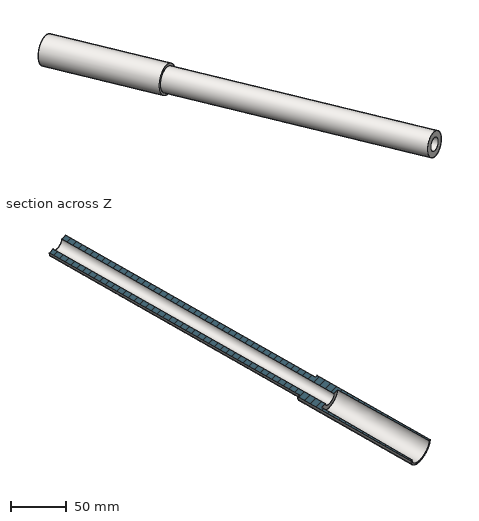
import cadquery as cq

total_length = 400.0
sleeve_length = 125.0
sleeve_diameter = 30.0
shank_diameter = 25.0
bore_diameter = 13.0

socket_mouth_diameter = 26.0
socket_floor_diameter = 24.0
socket_depth = 100.0

open_end_x = -total_length / 2
shank_end_x = total_length / 2
shoulder_x = open_end_x + sleeve_length
socket_floor_x = open_end_x + socket_depth

half_section = [
    (open_end_x, socket_mouth_diameter / 2),
    (open_end_x, sleeve_diameter / 2),
    (shoulder_x, sleeve_diameter / 2),
    (shoulder_x, shank_diameter / 2),
    (shank_end_x, shank_diameter / 2),
    (shank_end_x, bore_diameter / 2),
    (socket_floor_x, bore_diameter / 2),
    (socket_floor_x, socket_floor_diameter / 2),
]

result = cq.Workplane("XY").polyline(half_section).close().revolve(360, (0, 0, 0), (1, 0, 0))